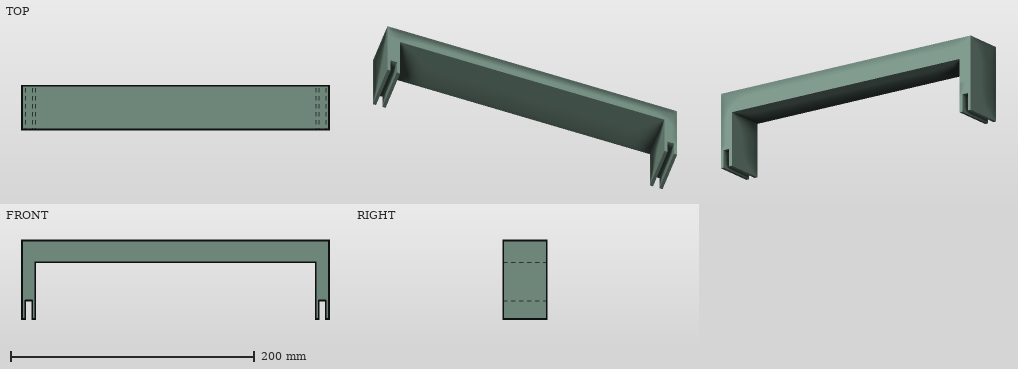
import cadquery as cq

length = 252.5
depth = 36.0
height = 64.6

beam_height = 18.2
leg_thickness = 11.0
slot_width = 5.5
slot_height = 15.2

leg_height = height - beam_height
leg_center_x = (length - leg_thickness) / 2


def upright_block(width, block_height, center_x, bottom_z):
    """Full-depth block centred in Y, standing on bottom_z."""
    return (
        cq.Workplane("XY", origin=(center_x, 0, bottom_z))
        .rect(width, depth)
        .extrude(block_height)
    )


def slotted_leg(center_x):
    """Leg with a slot along Y, open at its lower end."""
    leg = upright_block(leg_thickness, leg_height, center_x, 0)
    slot = upright_block(slot_width, slot_height, center_x, 0)
    return leg.cut(slot)


result = upright_block(length, beam_height, 0, leg_height)
for side in (-1, 1):
    result = result.union(slotted_leg(side * leg_center_x))
result = result.clean()